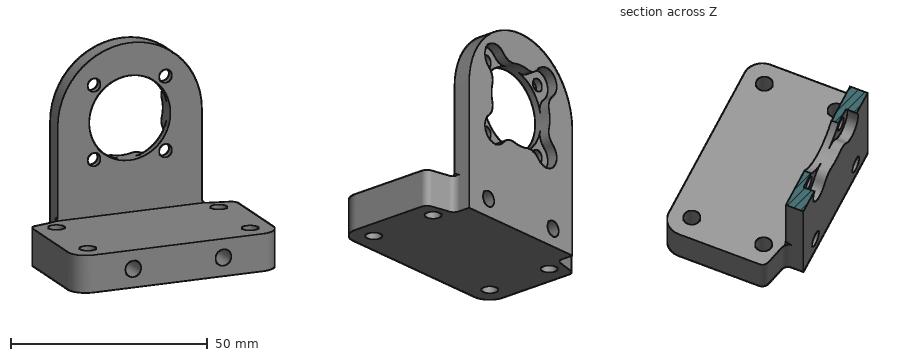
import cadquery as cq
import math

plate_thickness = 5.0
plate_width = 40.0
plate_radius = plate_width / 2
bore_height = 35.0

base_length = 36.0
base_width = 57.0
base_thickness = 10.0
base_taper = 2.0
rear_corner_radius = 5.0
front_corner_radius = 2.0
inner_corner_radius = 2.0

ramp_rise = 1.0
ramp_front_step = 0.2
ramp_reach = 0.35

bore_diameter = 22.5
motor_circle_diameter = 28.0
motor_hole_diameter = 3.5
motor_hole_angles = (45, 135, 225, 315)
recess_depth = 3.0
lobe_radius = 4.0
lobe_blend_radius = 4.0

fixing_hole_diameter = 4.35
base_hole_spacing_x = 20.0
base_hole_spacing_y = 45.0
base_hole_center_x = 20.0
front_hole_spacing = 25.0
front_hole_height = base_thickness / 2


def make_plate():
    half_width = plate_width / 2
    return (
        cq.Workplane("YZ")
        .moveTo(-half_width, 0)
        .lineTo(half_width, 0)
        .lineTo(half_width, bore_height)
        .threePointArc((0, bore_height + plate_radius), (-half_width, bore_height))
        .close()
        .extrude(plate_thickness)
    )


def make_base():
    """Base footprint including the foot of the plate, with rounded corners."""
    half_base = base_width / 2
    half_plate = plate_width / 2
    taper_end = plate_thickness + base_taper
    outline = [
        (0, -half_plate),
        (plate_thickness, -half_plate),
        (taper_end, -half_base),
        (base_length, -half_base),
        (base_length, half_base),
        (taper_end, half_base),
        (plate_thickness, half_plate),
        (0, half_plate),
    ]
    base = cq.Workplane("XY").polyline(outline).close().extrude(base_thickness)

    def round_corners(body, x, y, radius):
        middle = base_thickness / 2
        for side in (-1, 1):
            edge = cq.selectors.NearestToPointSelector((x, side * y, middle))
            body = body.edges("|Z").edges(edge).fillet(radius)
        return body

    base = round_corners(base, base_length, half_base, rear_corner_radius)
    base = round_corners(base, taper_end, half_base, front_corner_radius)
    return round_corners(base, plate_thickness, half_plate, inner_corner_radius)


def make_corner_ramp():
    """Cap on the +Y inner fillet, highest at the rear edge of the plate and falling away from it."""
    flank_angle = math.atan2(base_taper, (base_width - plate_width) / 2)
    setback = inner_corner_radius * math.tan(math.pi / 4 - flank_angle / 2)
    half_plate = plate_width / 2
    front_x = plate_thickness - setback
    fillet_center_y = half_plate + inner_corner_radius

    corner = (
        cq.Workplane("XY", origin=(front_x, half_plate, base_thickness))
        .rect(setback, ramp_reach, centered=False)
        .extrude(ramp_rise)
    )
    fillet_air = (
        cq.Workplane("XY", origin=(front_x, fillet_center_y, base_thickness))
        .circle(inner_corner_radius)
        .extrude(ramp_rise)
    )
    slope_x = (ramp_rise - ramp_front_step) / setback
    slope_y = ramp_rise / ramp_reach
    peak = (plate_thickness, half_plate, base_thickness + ramp_rise)
    ramp_plane = cq.Plane(origin=peak, xDir=(1, 0, slope_x), normal=(-slope_x, slope_y, 1))
    cutter_size = 4 * inner_corner_radius
    above_ramp = cq.Workplane(ramp_plane).rect(cutter_size, cutter_size).extrude(cutter_size)
    return corner.cut(fillet_air).cut(above_ramp)


def make_recess():
    """Four-lobed recess whose lobes blend smoothly into the bore."""
    bore_radius = bore_diameter / 2
    lobe_distance = motor_circle_diameter / 2
    blend_offset = lobe_radius + lobe_blend_radius
    blend_distance = math.sqrt((bore_radius + lobe_blend_radius) ** 2 - blend_offset ** 2)
    plane = cq.Workplane("YZ", origin=(0, 0, bore_height))

    recess = plane.circle(bore_radius).extrude(recess_depth)
    lobe = (
        plane.polyline([
            (0, 0),
            (blend_distance, -blend_offset),
            (blend_distance, -lobe_radius),
            (lobe_distance, -lobe_radius),
            (lobe_distance, lobe_radius),
            (blend_distance, lobe_radius),
            (blend_distance, blend_offset),
        ])
        .close()
        .extrude(recess_depth)
    )
    blends = (
        plane.pushPoints([(blend_distance, -blend_offset), (blend_distance, blend_offset)])
        .circle(lobe_blend_radius)
        .extrude(recess_depth)
    )
    tip = plane.pushPoints([(lobe_distance, 0)]).circle(lobe_radius).extrude(recess_depth)
    lobe = lobe.cut(blends).union(tip)
    for angle in motor_hole_angles:
        recess = recess.union(lobe.rotate((0, 0, bore_height), (1, 0, bore_height), angle))
    return recess


def make_motor_holes():
    plane = cq.Workplane("YZ", origin=(0, 0, bore_height))
    bore = plane.circle(bore_diameter / 2).extrude(plate_thickness)
    screws = (
        plane.polarArray(motor_circle_diameter / 2, motor_hole_angles[0], 360, len(motor_hole_angles))
        .circle(motor_hole_diameter / 2)
        .extrude(plate_thickness)
    )
    return bore.union(screws)


def make_base_holes():
    return (
        cq.Workplane("XY", origin=(base_hole_center_x, 0, 0))
        .rect(base_hole_spacing_x, base_hole_spacing_y, forConstruction=True)
        .vertices()
        .circle(fixing_hole_diameter / 2)
        .extrude(base_thickness)
    )


def make_front_holes():
    """Pair of holes running the full length of the base."""
    half_spacing = front_hole_spacing / 2
    return (
        cq.Workplane("YZ", origin=(0, 0, front_hole_height))
        .pushPoints([(-half_spacing, 0), (half_spacing, 0)])
        .circle(fixing_hole_diameter / 2)
        .extrude(base_length)
    )


corner_ramp = make_corner_ramp()
result = make_plate().union(make_base())
result = result.union(corner_ramp).union(corner_ramp.mirror("XZ"))
result = result.cut(make_recess()).cut(make_motor_holes())
result = result.cut(make_base_holes()).cut(make_front_holes())